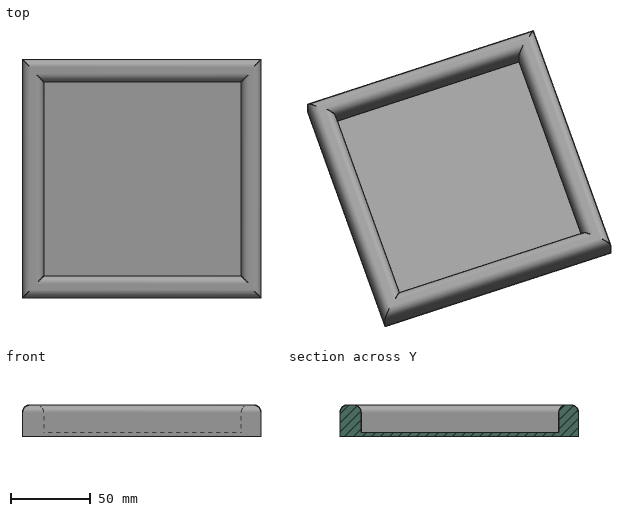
import cadquery as cq

side = 150.0
height = 20.0
floor_thickness = 2.5

pocket_length = 124.0
pocket_width = 122.0
pocket_offset_x = 0.5
pocket_offset_y = -0.2
pocket_depth = height - floor_thickness

edge_radius = height / 4

tray = cq.Workplane("XY").box(side, side, height, centered=(True, True, False))

pocket = (
    cq.Workplane("XY", origin=(pocket_offset_x, pocket_offset_y, floor_thickness))
    .rect(pocket_length, pocket_width)
    .extrude(pocket_depth)
)

result = tray.cut(pocket).faces(">Z").edges().fillet(edge_radius)